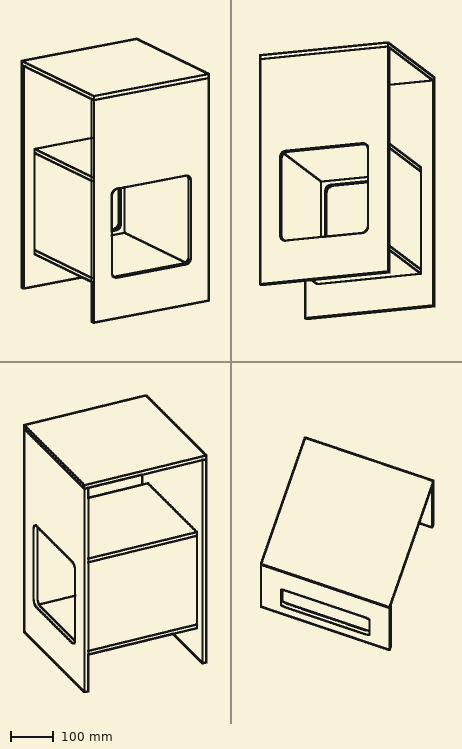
import cadquery as cq

width = 320.0
depth = 320.0
height = 560.0
board = 10.0

box_size = 260.0
box_bottom = 80.0
window_margin = 10.0
window_corner_radius = 15.0

side_height = height - board
inner_width = width - 2 * board
box_opening = box_size - 2 * board
box_center_z = box_bottom + box_size / 2
window_size = box_opening - 2 * window_margin
side_x = (width - board) / 2
box_board_offset = (box_size - board) / 2


def make_board(size, center):
    """A plain rectangular board about its center point."""
    return cq.Workplane("XY").box(*size).translate(center)


def make_top():
    """Table top resting on the upper edges of both sides."""
    return make_board((width, depth, board), (0, 0, height - board / 2))


def make_side(x):
    """Upright side with a rounded window into the box."""
    panel = make_board((board, depth, side_height), (x, 0, side_height / 2))
    window = (
        make_board((board, window_size, window_size), (x, 0, box_center_z))
        .edges("|X")
        .fillet(window_corner_radius)
    )
    return panel.cut(window)


def make_shelf(z):
    """Horizontal floor or roof of the box."""
    return make_board((inner_width, box_size, board), (0, 0, z))


def make_wall(y):
    """Front or back wall of the box, fitted between floor and roof."""
    return make_board((inner_width, board, box_opening), (0, y, box_center_z))


top = make_top()
sides = [make_side(sign * side_x) for sign in (-1, 1)]
shelves = [make_shelf(box_center_z + sign * box_board_offset) for sign in (-1, 1)]
walls = [make_wall(sign * box_board_offset) for sign in (-1, 1)]

bodies = [top, *sides, *shelves, *walls]
result = cq.Compound.makeCompound([body.val() for body in bodies])